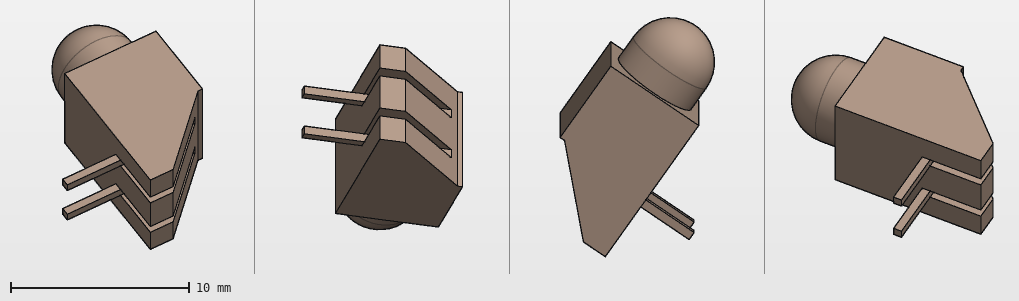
import cadquery as cq


housing_length = 9.2
housing_size = 6.0
half_size = housing_size / 2
roof_length = 5.0
roof_step = 0.3
tail_height = 1.5

led_radius = 2.5
led_protrusion = 4.0
led_barrel_length = led_protrusion - led_radius

lead_thickness = 0.5
lead_pitch = 2.54
lead_front = 5.5
lead_protrusion = 3.5
lead_positions = (-lead_pitch / 2, lead_pitch / 2)


def make_housing():
    """Block with a stepped, sloping back, extruded along Z."""
    return (
        cq.Workplane("XY")
        .workplane(offset=-half_size)
        .moveTo(0, -half_size)
        .lineTo(housing_length, -half_size)
        .lineTo(housing_length, tail_height - half_size)
        .lineTo(roof_length, half_size - roof_step)
        .lineTo(roof_length, half_size)
        .lineTo(0, half_size)
        .close()
        .extrude(housing_size)
    )


def make_led():
    """Round barrel with a hemispherical dome, revolved about the X axis."""
    dome_mid = led_radius * 0.5 ** 0.5
    return (
        cq.Workplane("XY")
        .moveTo(0, 0)
        .lineTo(0, led_radius)
        .lineTo(-led_barrel_length, led_radius)
        .threePointArc(
            (-led_barrel_length - dome_mid, dome_mid),
            (-led_protrusion, 0),
        )
        .close()
        .revolve(360, (0, 0, 0), (1, 0, 0))
    )


def make_slot(z_center):
    """Cutter for a slot open to the rear and through the full Y depth."""
    return (
        cq.Workplane("XY")
        .box(housing_length - lead_front, housing_size, lead_thickness, centered=(False, True, True))
        .translate((lead_front, 0, z_center))
    )


def make_lead(z_center):
    """Square lead at the front end of its slot, from the LED axis down past the board side."""
    top = lead_thickness / 2
    bottom = -half_size - lead_protrusion
    return (
        cq.Workplane("XY")
        .box(lead_thickness, top - bottom, lead_thickness, centered=(False, False, True))
        .translate((lead_front, bottom, z_center))
    )


result = make_housing().union(make_led())
for lead_z in lead_positions:
    result = result.cut(make_slot(lead_z)).union(make_lead(lead_z))